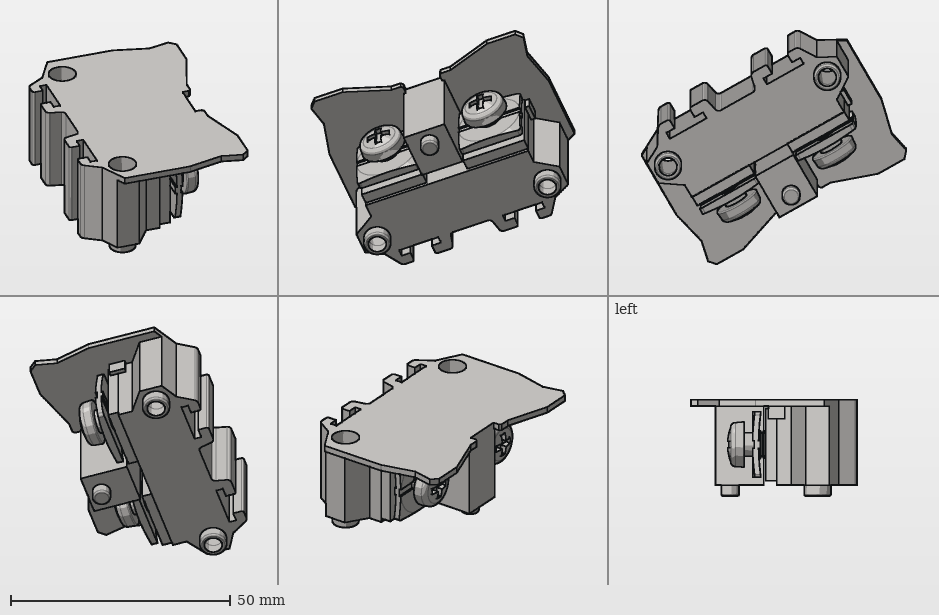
import cadquery as cq
import math

TOTAL_HEIGHT = 22.0
PIN_HEIGHT = 2.5
PLATE_THICKNESS = 1.5
BASE_Z = PIN_HEIGHT
PLATE_BOTTOM_Z = TOTAL_HEIGHT - PLATE_THICKNESS

PLATE_HALF_WIDTH = 27.0
PLATE_BACK_Y = 38.0
PLATE_SIDE_FRONT_Y = 7.5
PLATE_SIDE_BACK_Y = 23.3
WAIST_HALF_WIDTH = 25.05
WAIST_Y = 31.5
EAR_HALF_WIDTH = 26.1
EAR_Y = 36.4
EAR_TOP_OUTER_X = 24.7
EAR_TOP_INNER_X = 17.75
SHELF_Y = 34.4
SHELF_OUTER_X = 7.3
NOTCH_HALF_WIDTH = 4.45
NOTCH_FLOOR_Y = 32.4
NOTCH_CHAMFER = 0.5

KNEE_X = 20.95
KNEE_Y = 4.2
FOOT_OUTER_X = 18.3
SLOT_OUTER_X = 17.6
SLOT_INNER_X = 7.95
SLOT_TOP_Y = 4.05
SLOT_LIP_Y = 2.45
MOUTH_OUTER_X = 15.45
MOUTH_INNER_X = 10.2
CHANNEL_FRONT_X = 5.9
CHANNEL_BACK_X = 5.0
MOUTH_FILLET = 0.55
FOOT_OUTER_FILLET = 1.2
CHANNEL_FILLET = 1.0

BODY_HALF_WIDTH = 25.0
BODY_SIDE_BACK_Y = 11.7
BLOCK_HALF_WIDTH = 20.0
BLOCK_SLOPE_BACK_Y = 15.1
BLOCK_BACK_Y = 18.4
WALL_HALF_WIDTH = 5.0
WALL_FRONT_Y = 21.3
TAB_THICKNESS = 1.0
TAB_FRONT_Y = 16.6
TAB_BACK_Y = 20.3
TAB_HEIGHT = 2.9

OUTER_PIN_X = 20.95
OUTER_PIN_Y = 9.05
OUTER_PIN_DIAMETER = 6.15
CENTRE_PIN_Y = 29.0
CENTRE_PIN_DIAMETER = 4.1
PIN_FILLET = 0.45
SOCKET_DIAMETER = 6.3
BORE_DIAMETER = 4.1
SOCKET_DEPTH = 19.5
EDGE_TOLERANCE = 0.01

BAR_BACK_Y = 20.9
BAR_BOTTOM_Z = 3.45
BAR_TOP_Z = 20.0
SCREW_X = 12.55
SCREW_Z = 11.75
CLAMP_FRONT_Y = 22.0
CLAMP_BACK_Y = 23.9
CLAMP_SIDE = 15.0
CLAMP_CORNER = 0.7
CLAMP_HOLLOW = 0.55
CLAMP_BEVEL_RADIUS = 7.5
CLAMP_BEVEL_ANGLE = 10.0
BEAD_WIDTH = 1.75
BEAD_DEPTH = 0.4
SHANK_RADIUS = 2.7
THREAD_RADIUS = 3.2
THREAD_ROOT_RADIUS = 2.5
THREAD_COUNT = 2
HEAD_BASE_Y = 25.75
HEAD_BASE_FILLET = 0.3
HEAD_RIM_Y = 27.8
HEAD_DOME_Y = 28.9
HEAD_TOP_Y = 29.65
HEAD_BASE_RADIUS = 5.18
HEAD_RIM_RADIUS = 5.02
HEAD_DOME_RADIUS = 3.9
RECESS_WIDTH = 1.5
RECESS_LENGTH = 5.4
RECESS_DEPTH = 1.5


def mirrored_outline(right_half):
    """Close an outline from its right half, listed from the front to the back."""
    left_half = [(-x, y) for x, y in reversed(right_half)]
    return cq.Workplane("XY").polyline(right_half + left_half).close()


def edges_at(body, points):
    """Vertical edges of the body that pass through the given places, on both sides of X = 0."""

    def is_wanted(edge):
        centre = edge.Center()
        return any(math.hypot(abs(centre.x) - x, centre.y - y) < EDGE_TOLERANCE for x, y in points)

    return body.edges("|Z").filter(is_wanted)


FRONT_EDGE = [
    (CHANNEL_BACK_X, SLOT_TOP_Y),
    (CHANNEL_FRONT_X, 0),
    (MOUTH_INNER_X, 0),
    (MOUTH_INNER_X, SLOT_LIP_Y),
    (SLOT_INNER_X, SLOT_LIP_Y),
    (SLOT_INNER_X, SLOT_TOP_Y),
    (SLOT_OUTER_X, SLOT_TOP_Y),
    (SLOT_OUTER_X, SLOT_LIP_Y),
    (MOUTH_OUTER_X, SLOT_LIP_Y),
    (MOUTH_OUTER_X, 0),
    (FOOT_OUTER_X, 0),
    (KNEE_X, KNEE_Y),
]


def cover_plate():
    side_and_back = [
        (PLATE_HALF_WIDTH, PLATE_SIDE_FRONT_Y),
        (PLATE_HALF_WIDTH, PLATE_SIDE_BACK_Y),
        (WAIST_HALF_WIDTH, WAIST_Y),
        (EAR_HALF_WIDTH, EAR_Y),
        (EAR_TOP_OUTER_X, PLATE_BACK_Y),
        (EAR_TOP_INNER_X, PLATE_BACK_Y),
        (SHELF_OUTER_X, SHELF_Y),
        (NOTCH_HALF_WIDTH + NOTCH_CHAMFER, SHELF_Y),
        (NOTCH_HALF_WIDTH, SHELF_Y - NOTCH_CHAMFER),
        (NOTCH_HALF_WIDTH, NOTCH_FLOOR_Y),
    ]
    plate = mirrored_outline(FRONT_EDGE + side_and_back).extrude(PLATE_THICKNESS)
    return plate.translate((0, 0, PLATE_BOTTOM_Z))


def lower_block():
    slant = (PLATE_SIDE_FRONT_Y - KNEE_Y) / (PLATE_HALF_WIDTH - KNEE_X)
    side_front_y = KNEE_Y + slant * (BODY_HALF_WIDTH - KNEE_X)
    side_and_back = [
        (BODY_HALF_WIDTH, side_front_y),
        (BODY_HALF_WIDTH, BODY_SIDE_BACK_Y),
        (BLOCK_HALF_WIDTH, BLOCK_SLOPE_BACK_Y),
        (BLOCK_HALF_WIDTH, BLOCK_BACK_Y),
    ]
    block = mirrored_outline(FRONT_EDGE + side_and_back).extrude(PLATE_BOTTOM_Z - BASE_Z)
    return block.translate((0, 0, BASE_Z))


def partition_wall():
    depth = NOTCH_FLOOR_Y - WALL_FRONT_Y
    height = PLATE_BOTTOM_Z - BASE_Z
    wall = cq.Workplane("XY").box(2 * WALL_HALF_WIDTH, depth, height, centered=(True, False, False))
    return wall.translate((0, WALL_FRONT_Y, BASE_Z))


def hanging_tab(side):
    depth = TAB_BACK_Y - TAB_FRONT_Y
    tab = cq.Workplane("XY").box(TAB_THICKNESS, depth, TAB_HEIGHT, centered=(True, False, False))
    tab_x = BLOCK_HALF_WIDTH + TAB_THICKNESS / 2
    return tab.translate((side * tab_x, TAB_FRONT_Y, PLATE_BOTTOM_Z - TAB_HEIGHT))


def pin(x, y, diameter):
    peg = cq.Workplane("XY").circle(diameter / 2).extrude(PIN_HEIGHT)
    return peg.faces("<Z").edges().fillet(PIN_FILLET).translate((x, y, 0))


def socket(x, y):
    """Tapered socket from the top face that runs into a straight bore through the pin."""
    profile = [
        (0, 0),
        (BORE_DIAMETER / 2, 0),
        (BORE_DIAMETER / 2, TOTAL_HEIGHT - SOCKET_DEPTH),
        (SOCKET_DIAMETER / 2, TOTAL_HEIGHT),
        (0, TOTAL_HEIGHT),
    ]
    cutter = cq.Workplane("XZ").polyline(profile).close().revolve(360, (0, 0, 0), (0, 1, 0))
    return cutter.translate((x, y, 0))


def build_housing():
    body = cover_plate().union(lower_block())
    mouth_corners = [(MOUTH_INNER_X, 0), (MOUTH_OUTER_X, 0)]
    body = edges_at(body, mouth_corners).fillet(MOUTH_FILLET)
    body = edges_at(body, [(FOOT_OUTER_X, 0)]).fillet(FOOT_OUTER_FILLET)
    channel_corners = [(CHANNEL_FRONT_X, 0), (CHANNEL_BACK_X, SLOT_TOP_Y)]
    body = edges_at(body, channel_corners).fillet(CHANNEL_FILLET)
    body = body.union(partition_wall())
    body = body.union(pin(0, CENTRE_PIN_Y, CENTRE_PIN_DIAMETER))
    for side in (-1, 1):
        body = body.union(hanging_tab(side))
        body = body.union(pin(side * OUTER_PIN_X, OUTER_PIN_Y, OUTER_PIN_DIAMETER))
        body = body.cut(socket(side * OUTER_PIN_X, OUTER_PIN_Y))
    return body


def contact_bar():
    length = BLOCK_HALF_WIDTH - WALL_HALF_WIDTH
    bar = cq.Workplane("XY").box(
        length, BAR_BACK_Y - BLOCK_BACK_Y, BAR_TOP_Z - BAR_BOTTOM_Z, centered=False
    )
    return bar.translate((WALL_HALF_WIDTH, BLOCK_BACK_Y, BAR_BOTTOM_Z))


def clamp_plate():
    """Square plate with a hollow clamping face, a coned back face and a pressed bead along X."""
    half_side = CLAMP_SIDE / 2
    thickness = CLAMP_BACK_Y - CLAMP_FRONT_Y
    plate = cq.Workplane("XY").box(CLAMP_SIDE, thickness, CLAMP_SIDE).edges("|Y").fillet(CLAMP_CORNER)
    plate = plate.translate((0, CLAMP_FRONT_Y + thickness / 2, 0))

    bevel_drop = (CLAMP_SIDE - CLAMP_BEVEL_RADIUS) * math.tan(math.radians(CLAMP_BEVEL_ANGLE))
    coned_envelope = (
        cq.Workplane("XY")
        .moveTo(0, CLAMP_FRONT_Y)
        .lineTo(CLAMP_SIDE, CLAMP_FRONT_Y)
        .lineTo(CLAMP_SIDE, CLAMP_BACK_Y - bevel_drop)
        .lineTo(CLAMP_BEVEL_RADIUS, CLAMP_BACK_Y)
        .lineTo(0, CLAMP_BACK_Y)
        .close()
        .revolve(360, (0, 0, 0), (0, 1, 0))
    )
    plate = plate.intersect(coned_envelope)

    hollow = (
        cq.Workplane("YZ")
        .moveTo(CLAMP_FRONT_Y, -half_side)
        .threePointArc((CLAMP_FRONT_Y + CLAMP_HOLLOW, 0), (CLAMP_FRONT_Y, half_side))
        .close()
        .extrude(half_side, both=True)
    )
    bead = cq.Workplane("XY").box(CLAMP_SIDE, BEAD_DEPTH, BEAD_WIDTH)
    groove = bead.translate((0, CLAMP_BACK_Y - BEAD_DEPTH / 2, 0))
    rib = bead.translate((0, CLAMP_FRONT_Y + CLAMP_HOLLOW - BEAD_DEPTH / 2, 0))
    plate = plate.cut(hollow).cut(groove).union(rib)
    return plate.translate((SCREW_X, 0, SCREW_Z))


def screw():
    """Pan-head screw turned about its axis, from the bar's face to the domed head."""
    thread_end_y = CLAMP_FRONT_Y + CLAMP_HOLLOW
    pitch = (thread_end_y - BAR_BACK_Y) / THREAD_COUNT
    profile = cq.Workplane("XY").moveTo(0, BAR_BACK_Y).lineTo(THREAD_ROOT_RADIUS, BAR_BACK_Y)
    for ridge in range(THREAD_COUNT):
        root_y = BAR_BACK_Y + ridge * pitch
        profile = profile.lineTo(THREAD_RADIUS, root_y + pitch / 2)
        profile = profile.lineTo(THREAD_ROOT_RADIUS, root_y + pitch)
    halfway = math.sqrt(0.5)
    rim_mid = (
        HEAD_DOME_RADIUS + (HEAD_RIM_RADIUS - HEAD_DOME_RADIUS) * halfway,
        HEAD_RIM_Y + (HEAD_DOME_Y - HEAD_RIM_Y) * halfway,
    )
    dome_rise = HEAD_TOP_Y - HEAD_DOME_Y
    dome_sphere_radius = (HEAD_DOME_RADIUS**2 + dome_rise**2) / (2 * dome_rise)
    profile = (
        profile.lineTo(SHANK_RADIUS, thread_end_y)
        .lineTo(SHANK_RADIUS, HEAD_BASE_Y)
        .lineTo(HEAD_BASE_RADIUS - HEAD_BASE_FILLET, HEAD_BASE_Y)
        .radiusArc((HEAD_BASE_RADIUS, HEAD_BASE_Y + HEAD_BASE_FILLET), -HEAD_BASE_FILLET)
        .lineTo(HEAD_RIM_RADIUS, HEAD_RIM_Y)
        .threePointArc(rim_mid, (HEAD_DOME_RADIUS, HEAD_DOME_Y))
        .radiusArc((0, HEAD_TOP_Y), -dome_sphere_radius)
        .close()
    )
    turned = profile.revolve(360, (0, 0, 0), (0, 1, 0))
    for length, height in ((RECESS_LENGTH, RECESS_WIDTH), (RECESS_WIDTH, RECESS_LENGTH)):
        arm = cq.Workplane("XY").box(length, 2 * RECESS_DEPTH, height)
        turned = turned.cut(arm.translate((0, HEAD_TOP_Y, 0)))
    return turned.translate((SCREW_X, 0, SCREW_Z))


def build_terminal(side):
    terminal = contact_bar().union(clamp_plate()).union(screw())
    return terminal if side > 0 else terminal.mirror("YZ")


housing = build_housing()
terminals = [build_terminal(side) for side in (-1, 1)]

result = cq.Compound.makeCompound([housing.val(), *[terminal.val() for terminal in terminals]])